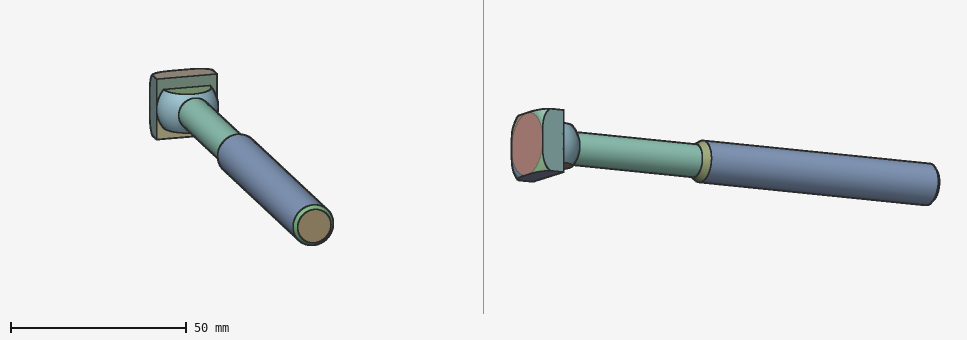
import cadquery as cq

total_length = 132.0
head_width = 18.0
head_thickness = 7.0
head_rounding = 4.0
collar_thickness = 11.5
neck_diameter = 9.5
shank_diameter = 12.0
taper_start = 54.6
shank_start = 56.9
tip_chamfer = 1.0

head_half = head_width / 2
neck_radius = neck_diameter / 2
shank_radius = shank_diameter / 2


def revolve_about_x(points):
    """Revolve a closed (x, radius) outline about the X axis."""
    return cq.Workplane("XY").polyline(points).close().revolve(360, (0, 0, 0), (1, 0, 0))


def make_head():
    """Square head whose front corners are trimmed by a turned rounding."""
    block = cq.Workplane("XY").box(
        head_thickness, head_width, head_width, centered=(False, True, True)
    )
    envelope_radius = head_half + head_rounding
    arc_leg = head_rounding / 2 ** 0.5
    envelope = (
        cq.Workplane("XY")
        .lineTo(0, head_half)
        .threePointArc(
            (head_rounding - arc_leg, head_half + arc_leg),
            (head_rounding, envelope_radius),
        )
        .lineTo(head_thickness, envelope_radius)
        .lineTo(head_thickness, 0)
        .close()
        .revolve(360, (0, 0, 0), (1, 0, 0))
    )
    return block.intersect(envelope)


def make_collar():
    """Half ball behind the head, flattened on its top and bottom."""
    ball = cq.Workplane("XY").sphere(head_half)
    slab = cq.Workplane("XY").box(
        head_half, head_width, collar_thickness, centered=(False, True, True)
    )
    return ball.intersect(slab).translate((head_thickness, 0, 0))


def make_stem():
    """Neck, taper and shank with a chamfered tip."""
    return revolve_about_x([
        (head_thickness, 0),
        (head_thickness, neck_radius),
        (taper_start, neck_radius),
        (shank_start, shank_radius),
        (total_length - tip_chamfer, shank_radius),
        (total_length, shank_radius - tip_chamfer),
        (total_length, 0),
    ])


result = make_head().union(make_collar()).union(make_stem())